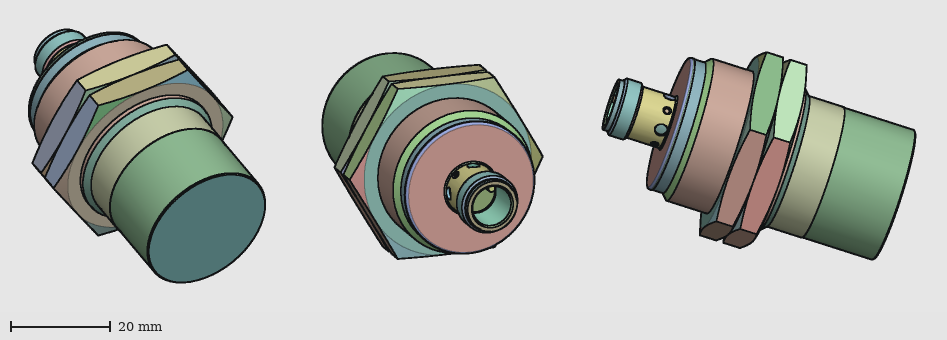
import cadquery as cq
import math


nose_diameter = 10.6
neck_diameter = 10.8
collar_diameter = 12.0
collar_start = 1.0
collar_end = 4.9
collar_chamfer = 0.5
root_flare = 0.3

socket_diameter = 8.3
socket_mouth_diameter = 8.95
socket_mouth_depth = 0.35
socket_depth = 9.0
socket_floor_chamfer = 0.2
key_diameter = 1.45
key_center_z = 3.65
key_start = 0.35

dimple_x = 10.6
large_dimple_diameter = 2.5
large_dimple_floor_radius = 4.6
small_dimple_diameter = 1.7
small_dimple_floor_diameter = 1.1
small_dimple_depth = 0.3
large_dimple_count = 4
dimple_pitch_angle = 360 / large_dimple_count

flange_face_x = 12.2
flange_diameter = 27.8
flange_edge_round = 0.5
flange_end = 13.1
barrel_diameter = 27.6
thread_diameter = 30.0
thread_start = 15.4
thread_end = 37.45
thread_chamfer = (thread_diameter - barrel_diameter) / 2
cap_diameter = 27.4
cap_start = 44.9
cap_chamfer = 0.25
total_length = 60.0

nut_across_flats = 36.0
nut_thickness = 5.05
nut_chamfer_depth = 0.8
nut_count = 2
first_nut_x = 25.15
nut_across_corners = nut_across_flats / math.cos(math.pi / 6)


def turned(points):
    """Revolve a closed (x, radius) outline around the X axis."""
    return cq.Workplane("XY").polyline(points).close().revolve(360, (0, 0, 0), (1, 0, 0))


def rod(diameter, start, length):
    """Cylinder along X."""
    return cq.Workplane("YZ").workplane(offset=start).circle(diameter / 2).extrude(length)


def make_outer_shape():
    nose_radius = nose_diameter / 2
    neck_radius = neck_diameter / 2
    collar_radius = collar_diameter / 2
    flange_radius = flange_diameter / 2
    barrel_radius = barrel_diameter / 2
    thread_radius = thread_diameter / 2
    cap_radius = cap_diameter / 2
    round_mid = flange_edge_round * (1 - math.sqrt(0.5))

    outline = (
        cq.Workplane("XY")
        .moveTo(0, 0)
        .lineTo(0, nose_radius)
        .lineTo(collar_start, nose_radius)
        .lineTo(collar_start, collar_radius - collar_chamfer)
        .lineTo(collar_start + collar_chamfer, collar_radius)
        .lineTo(collar_end - collar_chamfer, collar_radius)
        .lineTo(collar_end, collar_radius - collar_chamfer)
        .lineTo(collar_end, neck_radius)
        .lineTo(flange_face_x - root_flare, neck_radius)
        .lineTo(flange_face_x, neck_radius + root_flare)
        .lineTo(flange_face_x, flange_radius - flange_edge_round)
        .threePointArc(
            (flange_face_x + round_mid, flange_radius - round_mid),
            (flange_face_x + flange_edge_round, flange_radius),
        )
        .lineTo(flange_end, flange_radius)
        .lineTo(flange_end, barrel_radius)
        .lineTo(thread_start, barrel_radius)
        .lineTo(thread_start + thread_chamfer, thread_radius)
        .lineTo(thread_end - thread_chamfer, thread_radius)
        .lineTo(thread_end, barrel_radius)
        .lineTo(cap_start, barrel_radius)
        .lineTo(cap_start, cap_radius)
        .lineTo(total_length - cap_chamfer, cap_radius)
        .lineTo(total_length, cap_radius - cap_chamfer)
        .lineTo(total_length, 0)
        .close()
    )
    return outline.revolve(360, (0, 0, 0), (1, 0, 0))


def make_socket():
    """Blind socket with a conical mouth, less the keying rib at the top."""
    mouth_radius = socket_mouth_diameter / 2
    socket_radius = socket_diameter / 2
    socket = turned([
        (0, 0),
        (0, mouth_radius),
        (socket_mouth_depth, socket_radius),
        (socket_depth - socket_floor_chamfer, socket_radius),
        (socket_depth, socket_radius - socket_floor_chamfer),
        (socket_depth, 0),
    ])
    key = rod(key_diameter, key_start, socket_depth - key_start).translate((0, 0, key_center_z))
    return socket.cut(key)


def make_large_dimple():
    """Cutter on +Z for a straight dimple whose floor is concentric with the neck."""
    drill_radius = large_dimple_diameter / 2
    drill = cq.Workplane("XY").center(dimple_x, 0).circle(drill_radius).extrude(collar_diameter / 2)
    core = rod(2 * large_dimple_floor_radius, 0, flange_face_x)
    return drill.cut(core)


def make_small_dimple():
    """Cutter on +Z for a shallow dimple that narrows towards its floor."""
    return (
        cq.Workplane("XY")
        .workplane(offset=neck_diameter / 2 - small_dimple_depth)
        .center(dimple_x, 0)
        .circle(small_dimple_floor_diameter / 2)
        .workplane(offset=small_dimple_depth)
        .circle(small_dimple_diameter / 2)
        .loft()
    )


def make_dimples():
    """Large dimples on the Y and Z axes, with small ones midway between them."""
    cutters = []
    for index in range(large_dimple_count):
        large_angle = index * dimple_pitch_angle
        small_angle = large_angle + dimple_pitch_angle / 2
        cutters.append(make_large_dimple().rotate((0, 0, 0), (1, 0, 0), large_angle).val())
        cutters.append(make_small_dimple().rotate((0, 0, 0), (1, 0, 0), small_angle).val())
    return cq.Workplane(cq.Compound.makeCompound(cutters))


def make_housing():
    return make_outer_shape().cut(make_dimples()).cut(make_socket())


def make_nut(start):
    """Hexagonal nut with corners on +Y and -Y, chamfered on both faces."""
    hexagon = cq.Workplane("YZ").polygon(6, nut_across_corners).extrude(nut_thickness)
    flat_radius = nut_across_flats / 2
    corner_radius = nut_across_corners / 2
    chamfer_envelope = turned([
        (0, 0),
        (0, flat_radius),
        (nut_chamfer_depth, corner_radius),
        (nut_thickness - nut_chamfer_depth, corner_radius),
        (nut_thickness, flat_radius),
        (nut_thickness, 0),
    ])
    bore = rod(thread_diameter, 0, nut_thickness)
    return hexagon.intersect(chamfer_envelope).cut(bore).translate((start, 0, 0))


housing = make_housing()
nuts = [make_nut(first_nut_x + index * nut_thickness) for index in range(nut_count)]

result = cq.Compound.makeCompound([housing.val(), *[nut.val() for nut in nuts]])